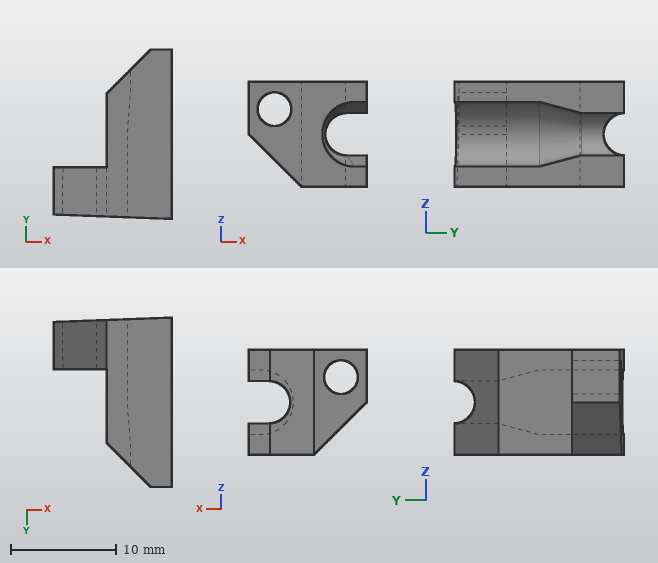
import cadquery as cq

width = 11.23
length = 16.13
height = 10.0

arm_width = 6.2
foot_length = 4.94
front_slant = 0.42
tip_width = 2.0

lower_cut_height = height / 2
hole_diameter = 3.2
hole_from_left = 2.45
hole_from_top = 2.61

mouth_radius = 3.08
mouth_center_from_right = 1.15
throat_radius = 2.0
throat_center_from_right = 1.94
taper_start = 8.06
taper_end = 12.1
slot_overrun = 0.8

slot_level = height / 2


def make_body():
    tip_cut = arm_width - tip_width
    return (
        cq.Workplane("XY")
        .moveTo(0, 0)
        .lineTo(0, length)
        .lineTo(-tip_width, length)
        .lineTo(-arm_width, length - tip_cut)
        .lineTo(-arm_width, foot_length)
        .lineTo(-width, foot_length)
        .lineTo(-width, front_slant)
        .close()
        .extrude(height)
    )


def make_lower_cut():
    return (
        cq.Workplane("XZ")
        .moveTo(-width, 0)
        .lineTo(-arm_width, 0)
        .lineTo(-width, lower_cut_height)
        .close()
        .extrude(-foot_length)
    )


def make_hole():
    return (
        cq.Workplane("XZ")
        .center(-width + hole_from_left, height - hole_from_top)
        .circle(hole_diameter / 2)
        .extrude(-foot_length)
    )


def slot_outline(plane, radius, center_from_right):
    return (
        plane
        .moveTo(slot_overrun, slot_level + radius)
        .lineTo(-center_from_right, slot_level + radius)
        .threePointArc(
            (-center_from_right - radius, slot_level),
            (-center_from_right, slot_level - radius),
        )
        .lineTo(slot_overrun, slot_level - radius)
        .close()
    )


def make_slot():
    front_plane = cq.Workplane("XZ", origin=(0, -slot_overrun, 0))
    mouth = slot_outline(front_plane, mouth_radius, mouth_center_from_right)
    mouth = mouth.extrude(-(taper_start + slot_overrun))

    taper = slot_outline(
        cq.Workplane("XZ", origin=(0, taper_start, 0)), mouth_radius, mouth_center_from_right
    )
    taper = slot_outline(
        taper.workplane(offset=taper_start - taper_end, origin=(0, taper_start, 0)),
        throat_radius,
        throat_center_from_right,
    )
    taper = taper.loft(ruled=True)

    throat_plane = cq.Workplane("XZ", origin=(0, taper_end, 0))
    throat = slot_outline(throat_plane, throat_radius, throat_center_from_right)
    throat = throat.extrude(-(length - taper_end + slot_overrun))
    return mouth.union(taper).union(throat)


result = make_body().cut(make_lower_cut()).cut(make_hole()).cut(make_slot())